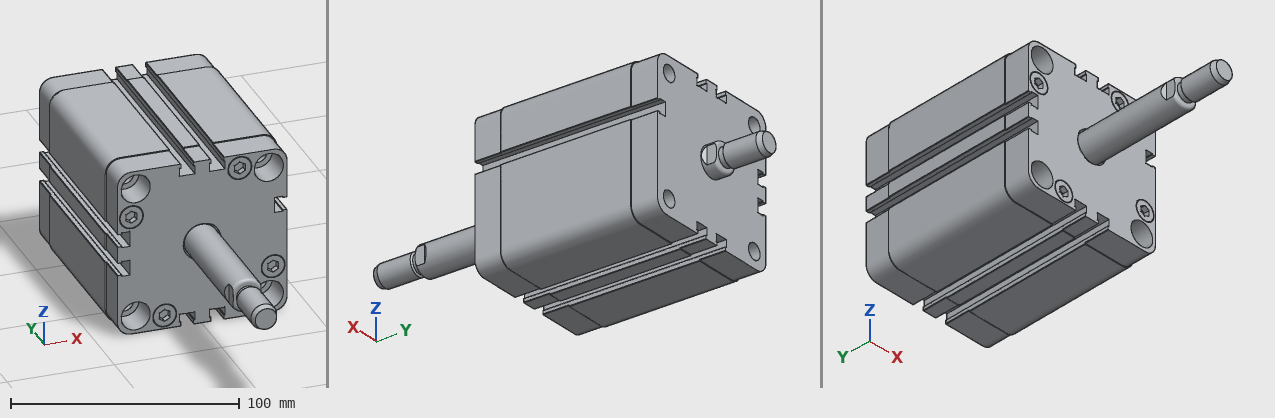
import cadquery as cq
import math

BODY_WIDTH = 80.0
BODY_CORNER_RADIUS = 7.0
BODY_LENGTH = 100.0
CAP_LENGTH = 14.3
CAP_STEP = 0.5

SLOT_MOUTH_WIDTH = 6.0
SLOT_WIDTH = 7.2
SLOT_LIP = 2.5
SLOT_DEPTH = 6.3
SLOT_CHAMFER = 0.25
PAIR_OFFSET = 7.0
SINGLE_OFFSET = 12.2

MOUNT_OFFSET = 31.0
MOUNT_HOLE_DIAMETER = 8.38
MOUNT_BORE_DIAMETER = 13.5
MOUNT_BORE_DEPTH = CAP_LENGTH

SCREW_EDGE_OFFSET = 33.0
SCREW_SIDE_OFFSET = 17.5
SCREW_RECESS_DIAMETER = 11.1
SCREW_HEAD_DIAMETER = 10.5
SCREW_HEAD_DEPTH = 6.0
SOCKET_ACROSS_FLATS = 5.0
SOCKET_DEPTH = 3.0

ROD_DIAMETER = 16.0
FRONT_ROD_LENGTH = 57.5
REAR_ROD_LENGTH = 7.5
ROD_END_RADIUS = 1.6
ROD_BORE_DIAMETER = 17.6
ROD_BORE_DEPTH = 1.0
FLATS_ACROSS = 13.0
FLATS_LENGTH = 5.2
FLATS_RUNOUT = 1.9

STUD_LENGTH = 24.0
STUD_DIAMETER = 12.0
STUD_TIP_DIAMETER = 10.0
STUD_TIP_LENGTH = 2.8
NECK_DIAMETER = 10.0
NECK_LENGTH = 2.5
NECK_TAPER_LENGTH = 0.6

FRONT = cq.Workplane("XZ")


def slot_cutter(offset, side, turn):
    """T-slot for a bar side at distance side from the axis, shifted sideways, then turned about the axis."""
    mouth = SLOT_MOUTH_WIDTH / 2
    inner = SLOT_WIDTH / 2
    floor = BODY_WIDTH / 2 - SLOT_DEPTH
    lip_bottom = BODY_WIDTH / 2 - SLOT_LIP
    half_outline = [
        (mouth + SLOT_CHAMFER, side),
        (mouth, side - SLOT_CHAMFER),
        (mouth, lip_bottom),
        (inner, lip_bottom),
        (inner, floor),
    ]
    outline = half_outline + [(-x, z) for x, z in reversed(half_outline)]
    slot = FRONT.polyline(outline).close().extrude(-BODY_LENGTH)
    return slot.translate((offset, 0, 0)).rotate((0, 0, 0), (0, 1, 0), turn)


def slotted_bar(width, radius, y_front, y_back):
    """Square bar between two Y positions, with rounded long edges and the T-slots cut in its sides."""
    bar = cq.Workplane("XZ", origin=(0, y_back, 0)).rect(width, width).extrude(y_back - y_front)
    bar = bar.edges("|Y").fillet(radius)
    for turn in (0, 180, 270):
        for offset in (-PAIR_OFFSET, PAIR_OFFSET):
            bar = bar.cut(slot_cutter(offset, width / 2, turn))
    return bar.cut(slot_cutter(-SINGLE_OFFSET, width / 2, 90))


def make_body():
    cap_width = BODY_WIDTH - 2 * CAP_STEP
    cap_radius = BODY_CORNER_RADIUS - CAP_STEP
    rear_cap_start = BODY_LENGTH - CAP_LENGTH
    front_cap = slotted_bar(cap_width, cap_radius, 0, CAP_LENGTH)
    tube = slotted_bar(BODY_WIDTH, BODY_CORNER_RADIUS, CAP_LENGTH, rear_cap_start)
    rear_cap = slotted_bar(cap_width, cap_radius, rear_cap_start, BODY_LENGTH)
    return front_cap.union(tube).union(rear_cap)


def front_cylinder(points, diameter, depth):
    """Cylinders going from the front face into the body."""
    return FRONT.pushPoints(points).circle(diameter / 2).extrude(-depth)


def cut_mounting_holes(body):
    centres = [(x, z) for x in (-MOUNT_OFFSET, MOUNT_OFFSET) for z in (-MOUNT_OFFSET, MOUNT_OFFSET)]
    body = body.cut(front_cylinder(centres, MOUNT_HOLE_DIAMETER, BODY_LENGTH))
    return body.cut(front_cylinder(centres, MOUNT_BORE_DIAMETER, MOUNT_BORE_DEPTH))


def add_cap_screws(body):
    edge = SCREW_EDGE_OFFSET
    side = SCREW_SIDE_OFFSET
    centres = [(side, edge), (edge, -side), (-side, -edge), (-edge, side)]
    socket_corner_diameter = SOCKET_ACROSS_FLATS / math.cos(math.pi / 6)
    body = body.cut(front_cylinder(centres, SCREW_RECESS_DIAMETER, SCREW_HEAD_DEPTH))
    body = body.union(front_cylinder(centres, SCREW_HEAD_DIAMETER, SCREW_HEAD_DEPTH))
    for x, z in centres:
        socket = cq.Workplane("XZ").polygon(6, socket_corner_diameter).extrude(-SOCKET_DEPTH)
        socket = socket.rotate((0, 0, 0), (0, 1, 0), 30)
        body = body.cut(socket.translate((x, 0, z)))
    return body


def rod_half(shaft_length):
    """Rod pointing to +Y from y = 0: shaft with rounded end and two flats, neck and threaded stud."""
    tip = shaft_length + STUD_LENGTH
    neck_end = shaft_length + NECK_LENGTH
    rod_radius = ROD_DIAMETER / 2
    round_middle = ROD_END_RADIUS * math.sin(math.pi / 4)
    round_centre = (rod_radius - ROD_END_RADIUS, shaft_length - ROD_END_RADIUS)
    rod = (
        cq.Workplane("XY")
        .lineTo(rod_radius, 0)
        .lineTo(rod_radius, round_centre[1])
        .threePointArc(
            (round_centre[0] + round_middle, round_centre[1] + round_middle),
            (round_centre[0], shaft_length),
        )
        .lineTo(NECK_DIAMETER / 2, shaft_length)
        .lineTo(NECK_DIAMETER / 2, neck_end)
        .lineTo(STUD_DIAMETER / 2, neck_end + NECK_TAPER_LENGTH)
        .lineTo(STUD_DIAMETER / 2, tip - STUD_TIP_LENGTH)
        .lineTo(STUD_TIP_DIAMETER / 2, tip)
        .lineTo(0, tip)
        .close()
        .revolve(360, (0, 0, 0), (0, 1, 0))
    )
    flat = FLATS_ACROSS / 2
    flat_start = shaft_length - FLATS_LENGTH
    wedge_outline = [
        (flat, shaft_length),
        (flat, flat_start),
        (rod_radius, flat_start - FLATS_RUNOUT),
        (ROD_DIAMETER, flat_start - FLATS_RUNOUT),
        (ROD_DIAMETER, shaft_length),
    ]
    wedge = cq.Workplane("XY").polyline(wedge_outline).close().extrude(rod_radius, both=True)
    return rod.cut(wedge).cut(wedge.mirror("YZ"))


def add_rod(body):
    middle = BODY_LENGTH / 2
    body = body.cut(front_cylinder([(0, 0)], ROD_BORE_DIAMETER, ROD_BORE_DEPTH))
    front = rod_half(middle + FRONT_ROD_LENGTH).mirror("XZ").translate((0, middle, 0))
    rear = rod_half(middle + REAR_ROD_LENGTH).translate((0, middle, 0))
    return body.union(front).union(rear)


result = add_rod(add_cap_screws(cut_mounting_holes(make_body())))